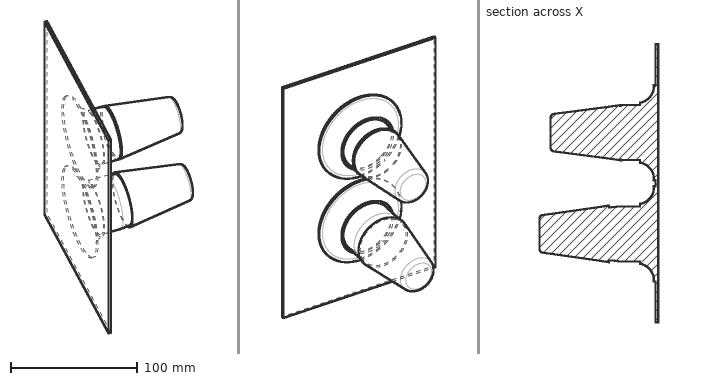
import cadquery as cq

plate_width = 140.0
plate_height = 220.0
plate_thickness = 2.2

post_pitch = 80.0

rim_radius = 37.8
rim_top = 3.7
flank_base_radius = 35.0
flank_middle_radius = 28.0
flank_middle_height = 7.0
collar_radius = 24.0
collar_bottom = 13.9
collar_top = 14.5

spigot_radius = 22.0
neck_radius = 21.1
upper_shoulder = 28.8
lower_shoulder = 31.0

cap_length = 55.2
cap_tip_radius = 14.7
cap_edge_fillet = 3.3
upper_cap_base = 30.1
upper_cap_radius = 22.0
lower_cap_base = 39.0
lower_cap_radius = 22.7


def revolve_profile(profile):
    """Revolve a (radius, Y) half-section about the Y axis."""
    return profile.close().revolve(360, (0, 0, 0), (0, 1, 0))


def make_plate():
    return cq.Workplane("XY").box(
        plate_width, plate_thickness, plate_height, centered=(True, False, True)
    )


def make_foot():
    profile = (
        cq.Workplane("XY")
        .lineTo(rim_radius, 0)
        .lineTo(rim_radius, rim_top)
        .lineTo(flank_base_radius, rim_top)
        .threePointArc(
            (flank_middle_radius, flank_middle_height),
            (collar_radius, collar_bottom),
        )
        .lineTo(collar_radius, collar_top)
        .lineTo(0, collar_top)
    )
    return revolve_profile(profile)


def make_spigot(shoulder, neck_end):
    profile = (
        cq.Workplane("XY")
        .lineTo(spigot_radius, 0)
        .lineTo(spigot_radius, shoulder)
        .lineTo(neck_radius, neck_end)
        .lineTo(0, neck_end)
    )
    return revolve_profile(profile)


def make_cap(base, base_radius):
    tip = base + cap_length
    profile = (
        cq.Workplane("XY")
        .moveTo(0, base)
        .lineTo(base_radius, base)
        .lineTo(cap_tip_radius, tip)
        .lineTo(0, tip)
    )
    return revolve_profile(profile).faces(">Y").edges().fillet(cap_edge_fillet)


def make_post(shoulder, cap_base, cap_radius):
    spigot = make_spigot(shoulder, cap_base)
    cap = make_cap(cap_base, cap_radius)
    return make_foot().union(spigot).union(cap)


upper_post = make_post(upper_shoulder, upper_cap_base, upper_cap_radius)
lower_post = make_post(lower_shoulder, lower_cap_base, lower_cap_radius)
result = (
    make_plate()
    .union(upper_post.translate((0, 0, post_pitch / 2)))
    .union(lower_post.translate((0, 0, -post_pitch / 2)))
)